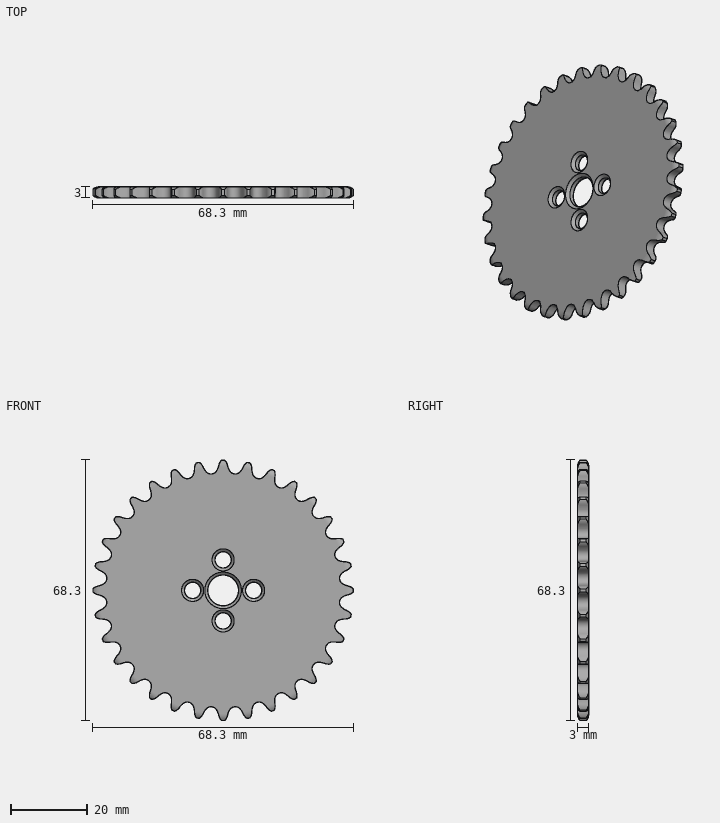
import cadquery as cq
import math

INCH = 25.4
TEETH = 32
PITCH = 6.35
ROLLER_DIAMETER = 3.302
THICKNESS = 3.0
OUTER_RADIUS = 34.17

TIP_ROUNDING_RADIUS = 2.47
TIP_ROUNDING_DEPTH = 1.72

BORE_DIAMETER = 8.0
BOLT_DIAMETER = 4.2
BOLT_CIRCLE_RADIUS = 8.0
BOLT_COUNT = 4
HOLE_CHAMFER = 0.8

SEATING_FACTOR = 1.005
SEATING_CLEARANCE = 0.003 * INCH
WORKING_CENTRE_FACTOR = 0.8
TOPPING_CENTRE_FACTOR = 1.4
TOOTH_DEG = 360 / TEETH
HALF_TOOTH_DEG = TOOTH_DEG / 2
PITCH_RADIUS = PITCH / (2 * math.sin(math.radians(HALF_TOOTH_DEG)))
SEATING_RADIUS = (SEATING_FACTOR * ROLLER_DIAMETER + SEATING_CLEARANCE) / 2
SEATING_DEG = 35 + 60 / TEETH
WORKING_DEG = 18 - 56 / TEETH
WORKING_CENTRE_DISTANCE = WORKING_CENTRE_FACTOR * ROLLER_DIAMETER
WORKING_RADIUS = SEATING_RADIUS + WORKING_CENTRE_DISTANCE
TOPPING_CENTRE_DISTANCE = TOPPING_CENTRE_FACTOR * ROLLER_DIAMETER


def polar(radius, degrees):
    """Point at a radius and angle from the origin."""
    angle = math.radians(degrees)
    return (radius * math.cos(angle), radius * math.sin(angle))


def offset(origin, radius, degrees):
    """Point at a radius and angle from another point."""
    dx, dy = polar(radius, degrees)
    return (origin[0] + dx, origin[1] + dy)


def turn(point, degrees):
    """Rotate a point about the sprocket axis."""
    radius = math.hypot(*point)
    return polar(radius, math.degrees(math.atan2(point[1], point[0])) + degrees)


def mirror(point):
    """Reflect a point across the centre line of the tooth space."""
    return (-point[0], point[1])


def flank():
    """Points of the right flank of the tooth space centred on +Y, from root to tip.

    Returns [root, seating end, working mid, working end, topping start,
    topping mid, tip].
    """
    roller = (0, PITCH_RADIUS)
    root = offset(roller, SEATING_RADIUS, -90)
    seating_end = offset(roller, SEATING_RADIUS, -SEATING_DEG)

    working_centre = offset(roller, WORKING_CENTRE_DISTANCE, 180 - SEATING_DEG)
    flat_normal_deg = WORKING_DEG - SEATING_DEG
    working_mid = offset(working_centre, WORKING_RADIUS, WORKING_DEG / 2 - SEATING_DEG)
    working_end = offset(working_centre, WORKING_RADIUS, flat_normal_deg)

    topping_centre = offset(roller, TOPPING_CENTRE_DISTANCE, -HALF_TOOTH_DEG)
    normal = polar(1, flat_normal_deg)
    topping_radius = sum(n * (c - w) for n, c, w in zip(normal, topping_centre, working_end))
    topping_start = offset(topping_centre, topping_radius, flat_normal_deg + 180)

    centre_radius = math.hypot(*topping_centre)
    centre_deg = math.degrees(math.atan2(topping_centre[1], topping_centre[0]))
    squares = centre_radius**2 + OUTER_RADIUS**2 - topping_radius**2
    cos_tip = squares / (2 * centre_radius * OUTER_RADIUS)
    tip = polar(OUTER_RADIUS, centre_deg + math.degrees(math.acos(cos_tip)))
    tip_deg = math.degrees(math.atan2(tip[1] - topping_centre[1], tip[0] - topping_centre[0]))
    topping_mid = offset(topping_centre, topping_radius, (tip_deg + flat_normal_deg + 180) / 2)
    return [root, seating_end, working_mid, working_end, topping_start, topping_mid, tip]


def toothed_plate():
    """Flat plate with the full tooth outline; a tooth is centred on +X and +Z."""
    right = flank()
    left = [mirror(p) for p in right]
    back_face = cq.Workplane("XZ", origin=(0, THICKNESS / 2, 0))
    profile = back_face.moveTo(*turn(left[-1], HALF_TOOTH_DEG))
    for tooth in range(TEETH):
        angle = HALF_TOOTH_DEG - tooth * TOOTH_DEG
        _, seat_l, work_mid_l, work_l, top_l, top_mid_l, _ = [turn(p, angle) for p in left]
        root, seat_r, work_mid_r, work_r, top_r, top_mid_r, tip_r = [turn(p, angle) for p in right]
        next_tip = turn(left[-1], angle - TOOTH_DEG)
        tip_mid = polar(OUTER_RADIUS, 90 + angle - HALF_TOOTH_DEG)
        profile = (
            profile.threePointArc(top_mid_l, top_l)
            .lineTo(*work_l)
            .threePointArc(work_mid_l, seat_l)
            .threePointArc(root, seat_r)
            .threePointArc(work_mid_r, work_r)
            .lineTo(*top_r)
            .threePointArc(top_mid_r, tip_r)
            .threePointArc(tip_mid, next_tip)
        )
    return profile.close().extrude(THICKNESS)


def rounded_blank():
    """Disc whose rim curves inward on both faces near the outer circle."""
    half = THICKNESS / 2
    flat_radius = OUTER_RADIUS - TIP_ROUNDING_DEPTH
    rim_drop = TIP_ROUNDING_RADIUS - math.sqrt(TIP_ROUNDING_RADIUS**2 - TIP_ROUNDING_DEPTH**2)
    mid_deg = 90 - math.degrees(math.asin(TIP_ROUNDING_DEPTH / TIP_ROUNDING_RADIUS)) / 2
    rim_mid = offset((flat_radius, half - TIP_ROUNDING_RADIUS), TIP_ROUNDING_RADIUS, mid_deg)
    return (
        cq.Workplane("XY")
        .moveTo(0, -half)
        .lineTo(flat_radius, -half)
        .threePointArc((rim_mid[0], -rim_mid[1]), (OUTER_RADIUS, rim_drop - half))
        .lineTo(OUTER_RADIUS, half - rim_drop)
        .threePointArc(rim_mid, (flat_radius, half))
        .lineTo(0, half)
        .close()
        .revolve(360, (0, 0, 0), (0, 1, 0))
    )


def chamfered_hole(diameter, x, z):
    """Cutter for a through hole along Y with a 45 degree chamfer at each face."""
    half = THICKNESS / 2
    radius = diameter / 2
    return (
        cq.Workplane("XY")
        .moveTo(0, -half)
        .lineTo(radius + HOLE_CHAMFER, -half)
        .lineTo(radius, HOLE_CHAMFER - half)
        .lineTo(radius, half - HOLE_CHAMFER)
        .lineTo(radius + HOLE_CHAMFER, half)
        .lineTo(0, half)
        .close()
        .revolve(360, (0, 0, 0), (0, 1, 0))
        .translate((x, 0, z))
    )


result = toothed_plate().intersect(rounded_blank())
result = result.cut(chamfered_hole(BORE_DIAMETER, 0, 0))
for bolt in range(BOLT_COUNT):
    bolt_x, bolt_z = polar(BOLT_CIRCLE_RADIUS, bolt * 360 / BOLT_COUNT)
    result = result.cut(chamfered_hole(BOLT_DIAMETER, bolt_x, bolt_z))